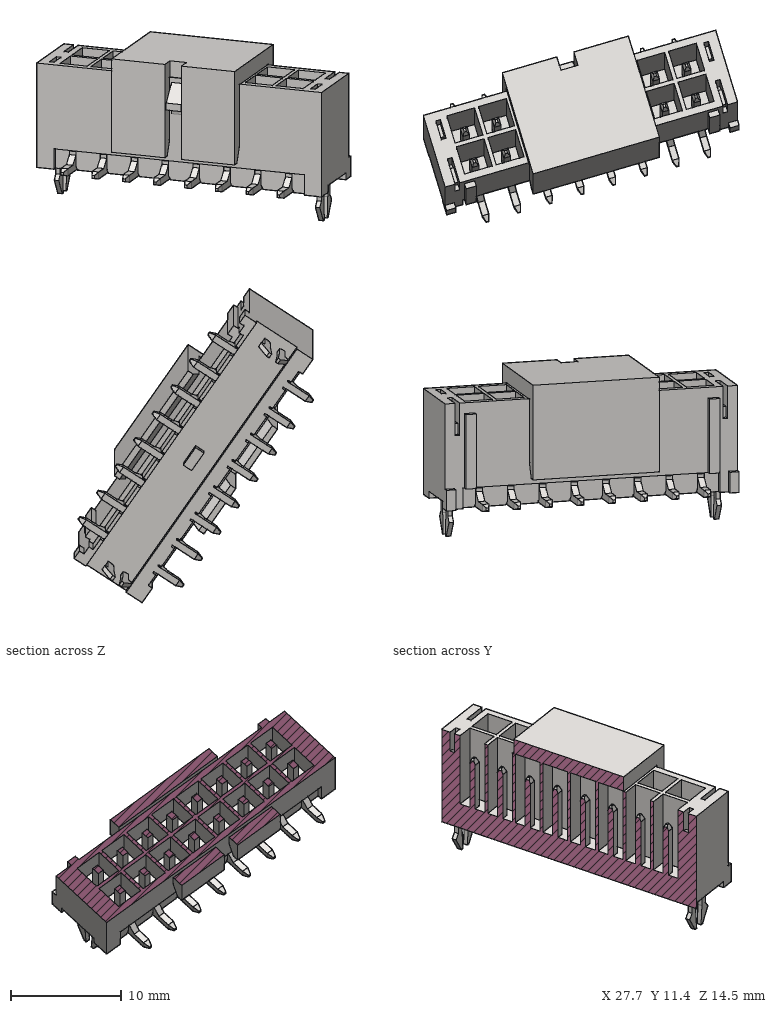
import cadquery as cq
import math

HOUSING_LENGTH = 27.7
HOUSING_WIDTH = 6.95
HOUSING_HEIGHT = 9.85
HALF_LENGTH = HOUSING_LENGTH / 2
HALF_WIDTH = HOUSING_WIDTH / 2

PITCH = 3.0
CONTACTS_PER_ROW = 8
ROW_Y = PITCH / 2
CONTACT_X = [(i - (CONTACTS_PER_ROW - 1) / 2) * PITCH for i in range(CONTACTS_PER_ROW)]
SIDES = (-1, 1)

SOCKET_SIZE = 2.63
SOCKET_FLOOR_Z = 2.6
POST_WIDTH = 0.63
POST_DEPTH = 0.8
POST_TIP_WIDTH = 0.2
POST_TIP_DEPTH = 0.3
POST_TIP_LENGTH = 0.55
POST_TOP_Z = 7.8

TAIL_THICKNESS = 0.67
TAIL_REACH = 5.7
TAIL_TIP_LENGTH = 0.6
TAIL_TIP_WIDTH = 0.25
TAIL_EXIT_Z = 1.76
TAIL_BEND_Z = 1.42
TAIL_STANDOFF = 0.05
FLARE_WIDTH = 0.95
FLARE_HEIGHT = 0.35
FLARE_DEPTH = 0.3

RELIEF_LENGTH = 24.35
RELIEF_DEPTH = 0.45
RELIEF_HEIGHT = 1.93
CHANNEL_HEIGHT = 0.65
CHANNEL_FRONT_Y = -1.72
CHANNEL_BACK_Y = 2.7
PAD_LENGTH = 2.0
PAD_FRONT_Y = -0.22
PAD_BACK_Y = 0.7

BACK_PROJECTION = 0.5
FOOT_LENGTH = 0.87
RIB_INNER_X = 11.05
RIB_OUTER_X = 12.02
RIB_TOP_Z = 8.85

CLIP_X = 12.69
CLIP_THICKNESS = 0.44
CLIP_CENTER_Y = 0.05
CLIP_BOTTOM_Z = -3.1
CLIP_LEG_OUTER = 1.12
CLIP_LEG_INNER = 0.5
CLIP_ROOT_INNER = 0.72
CLIP_ROOT_Z = 0.35
CLIP_BARB_OUTER = 1.51
CLIP_BARB_Z = -1.62
CLIP_SHOULDER_Z = -1.12
CLIP_TIP_OUTER = 0.62
CLIP_TIP_INNER = 0.35
BACK_SLOT_FRONT_Y = 1.03
FRONT_SLOT_FRONT_Y = -2.65
FRONT_SLOT_BACK_Y = -0.85
SLOT_DEPTH = 3.0
CLIP_HEAD_DROP = 2.0
BACK_HEAD_FRONT_Y = 1.55
BACK_HEAD_BACK_Y = 2.96
FRONT_HEAD_BACK_Y = -1.45

CAP_LENGTH = 11.95
CAP_CENTER_X = -0.03
CAP_WIDTH = 9.8
CAP_TOP_Z = 11.4
CAP_BOTTOM_Z = 2.6
CAP_INNER_HALF = 3.7
CAP_LEAD_HALF = 4.33
CAP_LEAD_Z = 3.98
NOTCH_WIDTH = 1.6
NOTCH_BACK_Y = -3.6

LATCH_WIDTH = 1.45
LATCH_REACH = 1.36
LATCH_TOP_Z = 9.34
LATCH_NOSE_TOP_Z = 7.75
LATCH_NOSE_BOTTOM_Z = 7.09
LATCH_ROOT_RADIUS = 0.68


def box(x0, x1, y0, y1, z0, z1):
    return cq.Workplane("XY").box(x1 - x0, y1 - y0, z1 - z0, centered=False).translate((x0, y0, z0))


def extrude_along_x(outline, center_x, width):
    """Extrude a closed YZ outline symmetrically about the plane x = center_x."""
    return outline.extrude(width).translate((center_x - width / 2, 0, 0))


def make_housing():
    body = box(-HALF_LENGTH, HALF_LENGTH, -HALF_WIDTH, HALF_WIDTH, 0, HOUSING_HEIGHT)
    relief_wall_y = HALF_WIDTH - RELIEF_DEPTH
    half_relief = RELIEF_LENGTH / 2
    front_relief = box(-half_relief, half_relief, -HALF_WIDTH, -relief_wall_y, 0, RELIEF_HEIGHT)
    back_relief = front_relief.mirror("XZ")
    channel = box(-HALF_LENGTH, HALF_LENGTH, CHANNEL_FRONT_Y, CHANNEL_BACK_Y, 0, CHANNEL_HEIGHT)
    body = body.cut(front_relief).cut(back_relief).cut(channel)
    pad = box(-PAD_LENGTH / 2, PAD_LENGTH / 2, PAD_FRONT_Y, PAD_BACK_Y, 0, CHANNEL_HEIGHT)
    return body.union(pad)


def make_sockets():
    centers = [(x, side * ROW_Y) for x in CONTACT_X for side in SIDES]
    return (
        cq.Workplane("XY", origin=(0, 0, SOCKET_FLOOR_Z))
        .pushPoints(centers)
        .rect(SOCKET_SIZE, SOCKET_SIZE)
        .extrude(HOUSING_HEIGHT - SOCKET_FLOOR_Z)
    )


def make_post(x, y):
    shoulder_z = POST_TOP_Z - POST_TIP_LENGTH
    shank = (
        cq.Workplane("XY", origin=(x, y, SOCKET_FLOOR_Z))
        .rect(POST_WIDTH, POST_DEPTH)
        .extrude(shoulder_z - SOCKET_FLOOR_Z)
    )
    tip = (
        cq.Workplane("XY", origin=(x, y, shoulder_z))
        .rect(POST_WIDTH, POST_DEPTH)
        .workplane(offset=POST_TIP_LENGTH)
        .rect(POST_TIP_WIDTH, POST_TIP_DEPTH)
        .loft()
    )
    return shank.union(tip)


def make_front_tail(x):
    """Tail that leaves the front relief, slopes down and runs out along the board."""
    wall_y = -(HALF_WIDTH - RELIEF_DEPTH)
    root_y = wall_y + FLARE_DEPTH
    face_y = wall_y - TAIL_STANDOFF
    tip_root_y = -(TAIL_REACH - TAIL_TIP_LENGTH)
    elbow_y = face_y - (TAIL_BEND_Z - TAIL_THICKNESS)
    outline = cq.Workplane("YZ").polyline([
        (root_y, 0),
        (tip_root_y, 0),
        (tip_root_y, TAIL_THICKNESS),
        (elbow_y, TAIL_THICKNESS),
        (face_y, TAIL_BEND_Z),
        (face_y, TAIL_EXIT_Z),
        (root_y, TAIL_EXIT_Z),
    ]).close()
    tail = extrude_along_x(outline, x, POST_WIDTH)
    tip = (
        cq.Workplane("XZ", origin=(x, tip_root_y, TAIL_THICKNESS / 2))
        .rect(POST_WIDTH, TAIL_THICKNESS)
        .workplane(offset=TAIL_TIP_LENGTH)
        .rect(TAIL_TIP_WIDTH, TAIL_TIP_WIDTH)
        .loft()
    )
    return tail.union(tip)


def make_front_flare(x):
    """Shallow notch under a tail, widening from the tail's width to the board plane."""
    wall_y = -(HALF_WIDTH - RELIEF_DEPTH)
    return (
        cq.Workplane("XZ", origin=(x, wall_y + FLARE_DEPTH, 0))
        .polyline([
            (-FLARE_WIDTH / 2, 0),
            (FLARE_WIDTH / 2, 0),
            (POST_WIDTH / 2, FLARE_HEIGHT),
            (-POST_WIDTH / 2, FLARE_HEIGHT),
        ])
        .close()
        .extrude(FLARE_DEPTH)
    )


def make_back_feet_and_ribs():
    back_y = HALF_WIDTH + BACK_PROJECTION
    foot = box(HALF_LENGTH - FOOT_LENGTH, HALF_LENGTH, CHANNEL_BACK_Y, back_y, 0, RELIEF_HEIGHT)
    rib = box(RIB_INNER_X, RIB_OUTER_X, HALF_WIDTH, back_y, RELIEF_HEIGHT, RIB_TOP_Z)
    right_end = foot.union(rib)
    return right_end.union(right_end.mirror("YZ"))


def make_clip_slots(center_x):
    """Two slots in the top face; the back one is open through the back face."""
    x0 = center_x - CLIP_THICKNESS / 2
    x1 = center_x + CLIP_THICKNESS / 2
    floor_z = HOUSING_HEIGHT - SLOT_DEPTH
    head_z = HOUSING_HEIGHT - CLIP_HEAD_DROP
    back = box(x0, x1, BACK_SLOT_FRONT_Y, HALF_WIDTH, floor_z, HOUSING_HEIGHT)
    back = back.cut(box(x0, x1, BACK_HEAD_FRONT_Y, BACK_HEAD_BACK_Y, floor_z, head_z))
    front = box(x0, x1, FRONT_SLOT_FRONT_Y, FRONT_SLOT_BACK_Y, floor_z, HOUSING_HEIGHT)
    front = front.cut(box(x0, x1, FRONT_SLOT_FRONT_Y, FRONT_HEAD_BACK_Y, floor_z, head_z))
    return back.union(front)


def make_clip_leg(center_x, side):
    profile = [
        (CLIP_ROOT_INNER, CHANNEL_HEIGHT),
        (CLIP_LEG_OUTER, CHANNEL_HEIGHT),
        (CLIP_LEG_OUTER, CLIP_SHOULDER_Z),
        (CLIP_BARB_OUTER, CLIP_BARB_Z),
        (CLIP_TIP_OUTER, CLIP_BOTTOM_Z),
        (CLIP_TIP_INNER, CLIP_BOTTOM_Z),
        (CLIP_LEG_INNER, CLIP_SHOULDER_Z),
        (CLIP_LEG_INNER, CLIP_ROOT_Z),
    ]
    points = [(CLIP_CENTER_Y + side * offset, z) for offset, z in profile]
    return extrude_along_x(cq.Workplane("YZ").polyline(points).close(), center_x, CLIP_THICKNESS)


def make_latch():
    nose_y = -(HALF_WIDTH + LATCH_REACH)
    root_y = -HALF_WIDTH
    root_z = LATCH_NOSE_BOTTOM_Z - LATCH_ROOT_RADIUS
    diagonal = LATCH_ROOT_RADIUS * math.sin(math.radians(45))
    outline = (
        cq.Workplane("YZ")
        .moveTo(root_y, LATCH_TOP_Z)
        .lineTo(nose_y, LATCH_NOSE_TOP_Z)
        .lineTo(nose_y, LATCH_NOSE_BOTTOM_Z)
        .lineTo(root_y - LATCH_ROOT_RADIUS, LATCH_NOSE_BOTTOM_Z)
        .threePointArc(
            (root_y - LATCH_ROOT_RADIUS + diagonal, root_z + diagonal),
            (root_y, root_z),
        )
        .close()
    )
    return extrude_along_x(outline, 0, LATCH_WIDTH)


def make_cap():
    half_width = CAP_WIDTH / 2
    outline = cq.Workplane("YZ").polyline([
        (-half_width, CAP_TOP_Z),
        (half_width, CAP_TOP_Z),
        (half_width, CAP_BOTTOM_Z),
        (CAP_LEAD_HALF, CAP_BOTTOM_Z),
        (CAP_INNER_HALF, CAP_LEAD_Z),
        (CAP_INNER_HALF, HOUSING_HEIGHT),
        (-CAP_INNER_HALF, HOUSING_HEIGHT),
        (-CAP_INNER_HALF, CAP_LEAD_Z),
        (-CAP_LEAD_HALF, CAP_BOTTOM_Z),
        (-half_width, CAP_BOTTOM_Z),
    ]).close()
    cap = extrude_along_x(outline, CAP_CENTER_X, CAP_LENGTH)
    half_notch = NOTCH_WIDTH / 2
    notch = box(
        CAP_CENTER_X - half_notch, CAP_CENTER_X + half_notch,
        -half_width, NOTCH_BACK_Y, CAP_BOTTOM_Z, CAP_TOP_Z,
    )
    return cap.cut(notch)


part = make_housing().cut(make_sockets())
for contact_x in CONTACT_X:
    front_flare = make_front_flare(contact_x)
    part = part.cut(front_flare).cut(front_flare.mirror("XZ"))
    front_tail = make_front_tail(contact_x)
    part = part.union(front_tail).union(front_tail.mirror("XZ"))
    for row_side in SIDES:
        part = part.union(make_post(contact_x, row_side * ROW_Y))

part = part.union(make_back_feet_and_ribs())
for end in SIDES:
    part = part.cut(make_clip_slots(end * CLIP_X))
    for leg_side in SIDES:
        part = part.union(make_clip_leg(end * CLIP_X, leg_side))

result = part.union(make_latch()).union(make_cap())